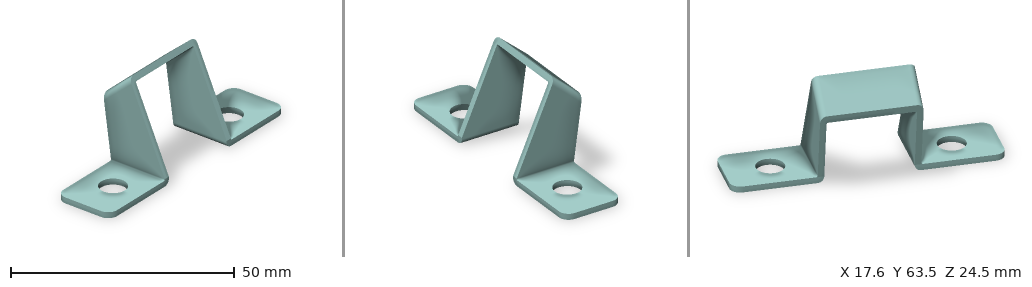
import cadquery as cq
import math

length = 63.5
height = 24.45
tab_width = 15.25
sheet = 1.5

inner_radius = 0.4
outer_radius = 1.5

bridge_width = 23.95
crown_overhang = 2.3
crown_low_z = 18.05
crown_run = 7.4

corner_radius = 2.55
hole_diameter = 6.7
hole_spacing = 41.9

tab_left = crown_overhang
tab_right = tab_left + tab_width
half_bridge = bridge_width / 2
bend_top = sheet + inner_radius


def make_tab(side):
    """Tab with its bend up to the start of the leg; side is -1 or +1 along Y."""
    inner_wall = half_bridge - sheet
    outer_mid = outer_radius * (1 - math.sqrt(0.5))
    inner_mid = inner_radius * (1 - math.sqrt(0.5))

    def at(y, z):
        return (side * y, z)

    section = (
        cq.Workplane("YZ", origin=(tab_left, 0, 0))
        .moveTo(*at(inner_wall, bend_top))
        .lineTo(*at(inner_wall, outer_radius))
        .threePointArc(at(inner_wall + outer_mid, outer_mid), at(inner_wall + outer_radius, 0))
        .lineTo(*at(length / 2, 0))
        .lineTo(*at(length / 2, sheet))
        .lineTo(*at(half_bridge + inner_radius, sheet))
        .threePointArc(at(half_bridge + inner_mid, sheet + inner_mid), at(half_bridge, bend_top))
        .close()
    )
    outer_corners = "|Z and >Y" if side > 0 else "|Z and <Y"
    blank = section.extrude(tab_width).edges(outer_corners).fillet(corner_radius)
    hole = (
        cq.Workplane("XY")
        .center(tab_left + tab_width / 2, side * hole_spacing / 2)
        .circle(hole_diameter / 2)
        .extrude(sheet)
    )
    return blank.cut(hole)


def make_channel():
    """U-channel running along the crown slope, its top face through the low edge."""
    angle = math.atan2(height - crown_low_z, crown_run)
    slope_plane = cq.Plane(
        origin=(0, 0, crown_low_z),
        xDir=(0, 1, 0),
        normal=(math.cos(angle), 0, math.sin(angle)),
    )

    def bar(width, top, radius):
        depth = 2 * length
        return (
            cq.Workplane(slope_plane)
            .center(0, top - depth / 2)
            .rect(width, depth)
            .extrude(length, both=True)
            .edges(cq.selectors.ParallelDirSelector(slope_plane.zDir))
            .fillet(radius)
        )

    outside = bar(bridge_width, 0, outer_radius)
    inside = bar(bridge_width - 2 * sheet, -sheet, inner_radius)
    return outside.cut(inside)


def make_side_profile():
    """Leaning side outline of the bridge, extruded across its full width."""
    return (
        cq.Workplane("XZ")
        .polyline([
            (tab_left, sheet),
            (tab_right, sheet),
            (tab_right, bend_top),
            (crown_run, height),
            (0, crown_low_z),
        ])
        .close()
        .extrude(length, both=True)
    )


result = make_channel().intersect(make_side_profile())
for side in (-1, 1):
    result = result.union(make_tab(side))